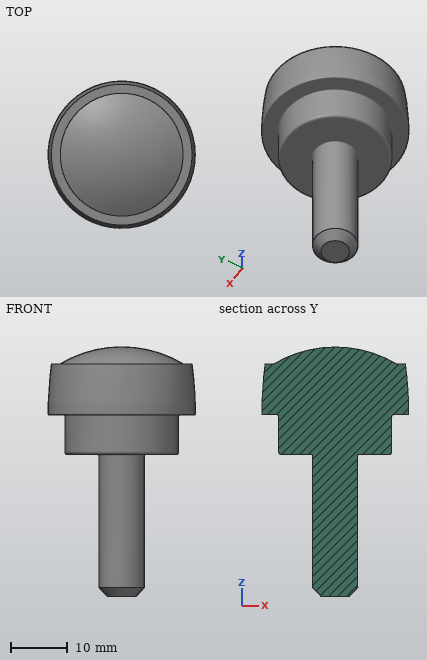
import cadquery as cq

total_height = 44.0
tip_chamfer_height = 1.6
stud_top = 25.0
collar_top = 32.0
band_top = 34.0
rim_top = 41.0

stud_radius = 8.0 / 2
tip_radius = 2.5
collar_radius = 20.0 / 2
head_radius = 25.95 / 2
rim_radius = 12.4
dome_radius = 10.82

collar_edge_fillet = 0.5
head_edge_fillet = 0.2
inner_corner_fillet = 0.2
side_bulge = 0.1

dome_rise = total_height - rim_top
sphere_radius = (dome_radius**2 + dome_rise**2) / (2 * dome_rise)
sphere_center_z = total_height - sphere_radius
dome_mid_radius = dome_radius / 2
dome_mid_z = sphere_center_z + (sphere_radius**2 - dome_mid_radius**2) ** 0.5

stud = (
    cq.Workplane("XZ")
    .polyline([
        (0, 0),
        (tip_radius, 0),
        (stud_radius, tip_chamfer_height),
        (stud_radius, stud_top),
        (0, stud_top),
    ])
    .close()
    .revolve(360, (0, 0), (0, 1))
)

collar = (
    cq.Workplane("XY", origin=(0, 0, stud_top))
    .circle(collar_radius)
    .extrude(collar_top - stud_top)
    .faces("<Z")
    .edges()
    .fillet(collar_edge_fillet)
)

side_mid = ((head_radius + rim_radius) / 2 + side_bulge, (band_top + rim_top) / 2)
head = (
    cq.Workplane("XZ")
    .moveTo(0, collar_top)
    .lineTo(head_radius, collar_top)
    .lineTo(head_radius, band_top)
    .threePointArc(side_mid, (rim_radius, rim_top))
    .lineTo(dome_radius, rim_top)
    .threePointArc((dome_mid_radius, dome_mid_z), (0, total_height))
    .close()
    .revolve(360, (0, 0), (0, 1))
    .faces("<Z")
    .edges()
    .fillet(head_edge_fillet)
)

knob = stud.union(collar).union(head)
tolerance = 0.005
for corner_radius, corner_z in [(stud_radius, stud_top), (collar_radius, collar_top)]:
    corner_edges = [
        edge
        for edge in knob.edges("%CIRCLE").vals()
        if abs(edge.radius() - corner_radius) < tolerance
        and abs(edge.Center().z - corner_z) < tolerance
    ]
    knob = knob.newObject(corner_edges).fillet(inner_corner_fillet)

result = knob